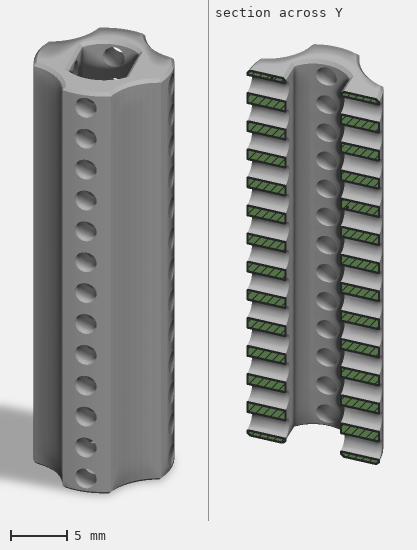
import cadquery as cq
import math

length = 40.6
outer_radius = 6.25
lobe_half_width = 2.25
flute_depth_radius = 5.0
bore_diameter = 7.0
bore_flat_width = 5.25
edge_chamfer = 0.3
hole_diameter = 2.0
hole_count = 13
lobe_count = 4

hole_pitch = length / hole_count

corner_reach = math.sqrt(outer_radius**2 - lobe_half_width**2)
flute_chord_radius = (corner_reach + lobe_half_width) / math.sqrt(2)
flute_half_chord = (corner_reach - lobe_half_width) / math.sqrt(2)
flute_sag = flute_chord_radius - flute_depth_radius
flute_radius = (flute_half_chord**2 + flute_sag**2) / (2 * flute_sag)
flute_center_radius = flute_depth_radius + flute_radius


def make_fluted_bar():
    """Round bar along Z with a flute between each pair of neighbouring lobes."""
    lobe_angle = 360 / lobe_count
    bar = cq.Workplane("XY").circle(outer_radius).extrude(length)
    flutes = (
        cq.Workplane("XY")
        .polarArray(flute_center_radius, lobe_angle / 2, 360, lobe_count)
        .circle(flute_radius)
        .extrude(length)
    )
    return bar.cut(flutes)


def make_bore():
    """Round bore with two flats facing along X."""
    round_bore = cq.Workplane("XY").circle(bore_diameter / 2).extrude(length)
    flats = cq.Workplane("XY").rect(bore_flat_width, bore_diameter).extrude(length)
    return round_bore.intersect(flats)


def make_hole_row(plane):
    """Row of cross holes through the whole bar, along the normal of the plane."""
    return (
        cq.Workplane(plane)
        .center(0, length / 2)
        .rarray(0.4, hole_pitch, 1, hole_count)
        .circle(hole_diameter / 2)
        .extrude(outer_radius, both=True)
    )


body = make_fluted_bar().cut(make_bore())
body = body.faces("<Z or >Z").chamfer(edge_chamfer)

for hole_plane in ("XZ", "YZ"):
    body = body.cut(make_hole_row(hole_plane))

result = body